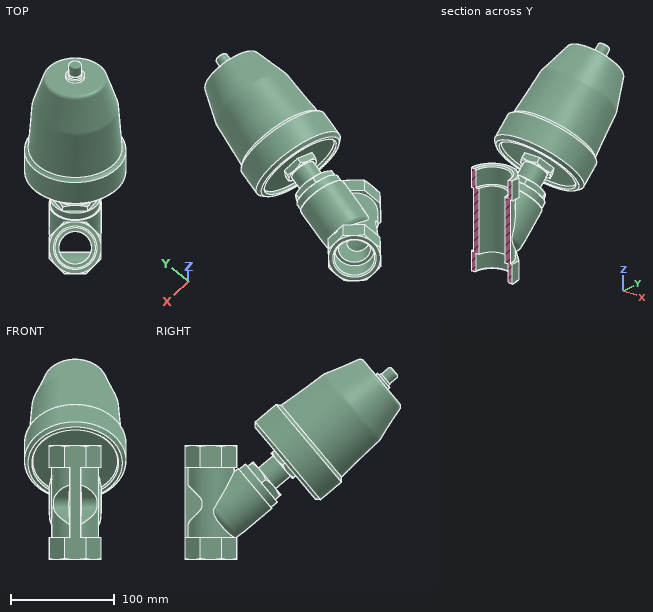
import cadquery as cq
import math


HEXAGON = 6
OCTAGON = 8

BODY_HEIGHT = 110.0
FLATS = 50.1
END_HEIGHT = 21.5
UPPER_END_Z = BODY_HEIGHT - END_HEIGHT
BARREL_DIAMETER = 45.3
CORNER_CHAMFER_ANGLE = 30
BORE_DIAMETER = 31.2
THREAD_DIAMETER = 39.0
THREAD_DEPTH = 20.0
THREAD_CHAMFER = 1.5

NOTCH_Z = 53.7
NOTCH_BOTTOM_Y = -8.3
NOTCH_RADIUS = 10.5
NOTCH_LIP_Y = -18.7
NOTCH_LIP_Z = 30.0
BRIDGE_WALL = 4.2
BRIDGE_RADIUS = 13.5
RIB_FACE_WIDTH = 10.5
RIB_ROOT_WIDTH = 12.5

AXIS_ELEVATION = 40
AXIS_START_Z = 32.9

NECK_DIAMETER = 50.5
NECK_NOSE_DIAMETER = 49.0
NECK_START = 6.7
NECK_TAPER_END = 21.6
NECK_END = 55.5
NECK_END_FILLET = 7.0
COLLAR_DIAMETER = 48.0
COLLAR_END = 63.6
GLAND_FLATS = 41.5
GLAND_END = 70.7
STEM_DIAMETER = 26.0

NUT_FLATS = 32.0
NUT_START = 89.2
RING_DIAMETER = 98.0
RING_START = 93.4
RING_END = 123.1
RING_CHAMFER = 3.5
RECESS_MOUTH_DIAMETER = 83.6
RECESS_FLOOR_DIAMETER = 81.7
RECESS_DEPTH = 2.7
SHOULDER_RADIUS = 46.8
SHOULDER_END = 124.8
COVER_FOOT_RADIUS = 45.3
COVER_FOOT = 126.5
COVER_BEND_RADIUS = 41.8
COVER_BEND = 177.2
COVER_TOP_RADIUS = 30.2
COVER_TOP = 214.9
COVER_BEND_FILLET = 10.5
COVER_TOP_FILLET = 4.5
WASHER_DIAMETER = 18.3
WASHER_HEIGHT = 2.5
PIN_STEP_DIAMETER = 13.5
PIN_STEP_HEIGHT = 2.3
PIN_DIAMETER = 12.5
PIN_END = 230.9
PIN_FILLET = 2.0


def cylinder(diameter, start, end):
    return cq.Workplane("XY").workplane(offset=start).circle(diameter / 2).extrude(end - start)


def revolved(points):
    """Solid of revolution about Z from (radius, height) points."""
    return cq.Workplane("XZ").polyline(points).close().revolve(360, (0, 0), (0, 1))


def prism(sides, flats, start, end):
    """Regular prism about Z: a hexagon has corners on the X axis, an octagon has flats there."""
    corner_diameter = flats / math.cos(math.pi / sides)
    turn = 180 / OCTAGON if sides == OCTAGON else 0
    base = cq.Workplane("XY").polygon(sides, corner_diameter).extrude(end - start)
    return base.rotate((0, 0, 0), (0, 0, 1), turn).translate((0, 0, start))


def corner_trim(sides, flats, start, end, at_start, at_end):
    """Round envelope that bevels a prism's corners at the chosen ends."""
    face_radius = flats / 2
    corner_radius = face_radius / math.cos(math.pi / sides)
    drop = (corner_radius - face_radius) * math.tan(math.radians(CORNER_CHAMFER_ANGLE))
    lower = start + drop if at_start else start
    upper = end - drop if at_end else end
    points = [(0, start)]
    if at_start:
        points.append((face_radius, start))
    points += [(corner_radius, lower), (corner_radius, upper)]
    if at_end:
        points.append((face_radius, end))
    points.append((0, end))
    return revolved(points)


def bevelled_prism(sides, flats, start, end, at_start=False, at_end=False):
    return prism(sides, flats, start, end).intersect(
        corner_trim(sides, flats, start, end, at_start, at_end)
    )


def notch_tool():
    """Groove along X, open toward -Y: 45 degree flanks, a round bottom and a flared lower lip."""
    half_chord = NOTCH_RADIUS / math.sqrt(2)
    tangent_y = NOTCH_BOTTOM_Y - NOTCH_RADIUS + half_chord
    outer_y = -FLATS / 2
    upper_z = NOTCH_Z + half_chord
    lower_z = NOTCH_Z - half_chord
    return (
        cq.Workplane("YZ")
        .moveTo(outer_y, upper_z + tangent_y - outer_y)
        .lineTo(tangent_y, upper_z)
        .threePointArc((NOTCH_BOTTOM_Y, NOTCH_Z), (tangent_y, lower_z))
        .lineTo(NOTCH_LIP_Y, lower_z + NOTCH_LIP_Y - tangent_y)
        .tangentArcPoint((-BARREL_DIAMETER / 2, NOTCH_LIP_Z), relative=False)
        .lineTo(outer_y, NOTCH_LIP_Z)
        .close()
        .extrude(FLATS, both=True)
    )


def bridge():
    """Half-round wall across the bore behind the notch."""
    center_y = NOTCH_BOTTOM_Y + BRIDGE_WALL - BRIDGE_RADIUS
    return cq.Workplane("YZ").center(center_y, NOTCH_Z).circle(BRIDGE_RADIUS).extrude(FLATS, both=True)


def rib():
    front_y = -FLATS / 2
    face = RIB_FACE_WIDTH / 2
    root = RIB_ROOT_WIDTH / 2
    points = [(-face, front_y), (face, front_y), (root, NOTCH_BOTTOM_Y), (-root, NOTCH_BOTTOM_Y)]
    height = UPPER_END_Z - END_HEIGHT
    outline = cq.Workplane("XY").workplane(offset=END_HEIGHT).polyline(points).close()
    return outline.extrude(height)


def bores():
    tool = cylinder(BORE_DIAMETER, 0, BODY_HEIGHT)
    tool = tool.cut(bridge())
    bore_radius = THREAD_DIAMETER / 2
    mouth_radius = bore_radius + THREAD_CHAMFER
    thread = revolved([
        (0, 0), (mouth_radius, 0), (bore_radius, THREAD_CHAMFER),
        (bore_radius, THREAD_DEPTH), (0, THREAD_DEPTH),
    ])
    upper_thread = thread.mirror("XY").translate((0, 0, BODY_HEIGHT))
    return tool.union(thread).union(upper_thread)


def inclined_neck():
    neck = revolved([
        (0, NECK_START),
        (NECK_NOSE_DIAMETER / 2, NECK_START),
        (NECK_DIAMETER / 2, NECK_TAPER_END),
        (NECK_DIAMETER / 2, NECK_END),
        (0, NECK_END),
    ])
    neck = neck.faces("<Z").edges().fillet(NECK_END_FILLET)
    neck = neck.union(cylinder(COLLAR_DIAMETER, NECK_END, COLLAR_END))
    gland = bevelled_prism(HEXAGON, GLAND_FLATS, COLLAR_END, GLAND_END, at_end=True)
    return neck.union(gland).union(cylinder(STEM_DIAMETER, GLAND_END, NUT_START))


def actuator():
    ring_radius = RING_DIAMETER / 2
    shell = revolved([
        (0, RING_START),
        (ring_radius - RING_CHAMFER, RING_START),
        (ring_radius, RING_START + RING_CHAMFER),
        (ring_radius, RING_END),
        (SHOULDER_RADIUS, SHOULDER_END),
        (COVER_FOOT_RADIUS, COVER_FOOT),
        (COVER_BEND_RADIUS, COVER_BEND),
        (COVER_TOP_RADIUS, COVER_TOP),
        (0, COVER_TOP),
    ])
    shell = shell.faces(">Z").edges().fillet(COVER_TOP_FILLET)
    bend = cq.selectors.NearestToPointSelector((0, 0, COVER_BEND))
    shell = shell.edges(bend).fillet(COVER_BEND_FILLET)
    recess_floor = RING_START + RECESS_DEPTH
    shell = shell.cut(revolved([
        (0, RING_START),
        (RECESS_MOUTH_DIAMETER / 2, RING_START),
        (RECESS_FLOOR_DIAMETER / 2, recess_floor),
        (0, recess_floor),
    ]))
    nut = bevelled_prism(HEXAGON, NUT_FLATS, NUT_START, recess_floor, at_start=True)
    washer_top = COVER_TOP + WASHER_HEIGHT
    washer = cylinder(WASHER_DIAMETER, COVER_TOP, washer_top)
    pin_step = cylinder(PIN_STEP_DIAMETER, washer_top, washer_top + PIN_STEP_HEIGHT)
    pin = cylinder(PIN_DIAMETER, COVER_TOP, PIN_END).faces(">Z").edges().fillet(PIN_FILLET)
    return shell.union(nut).union(washer).union(pin_step).union(pin)


def tilt(solid):
    """Move a solid built about Z onto the inclined axis."""
    return solid.rotate((0, 0, 0), (1, 0, 0), AXIS_ELEVATION - 90).translate((0, 0, AXIS_START_Z))


barrel = cylinder(BARREL_DIAMETER, END_HEIGHT, UPPER_END_Z).cut(notch_tool()).union(rib())
lower_end = bevelled_prism(OCTAGON, FLATS, 0, END_HEIGHT, at_start=True)
upper_end = bevelled_prism(OCTAGON, FLATS, UPPER_END_Z, BODY_HEIGHT, at_end=True)
body = barrel.union(lower_end).union(upper_end)

result = body.union(tilt(inclined_neck())).cut(bores()).union(tilt(actuator()))